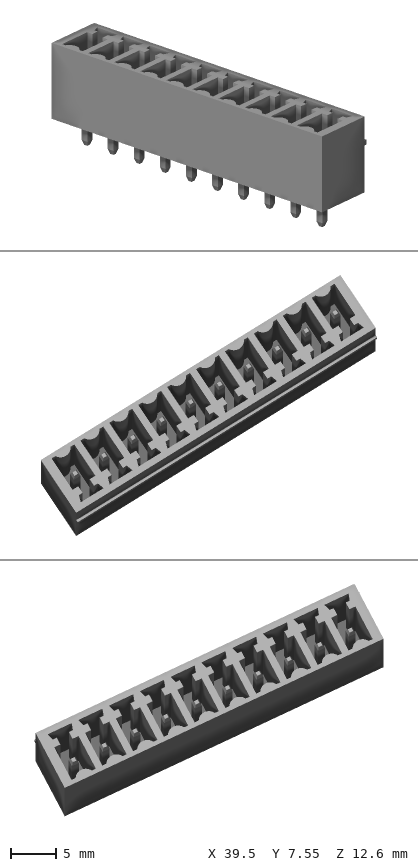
import cadquery as cq

contact_count = 10
pitch = 3.81
end_margin = 2.6
housing_depth = 7.25
housing_height = 9.2
housing_length = (contact_count - 1) * pitch + 2 * end_margin

rib_projection = 0.3
rib_height = 0.6
rib_bottom = 5.7

pocket_floor = 1.2
pocket_width = 3.0
pocket_front = 0.5
neck_front = 4.8
neck_back = 5.7
neck_width = 1.5
keyway_back = 6.5
keyway_front_width = 2.5
keyway_back_width = pocket_width

ridge_width = 2.0
ridge_projection = 0.6

pin_side = 0.85
pin_y = 3.0
pin_tail = 3.4
pin_top = 7.8
pin_taper_length = 0.6
pin_taper_inset = 0.2


def make_housing():
    block = cq.Workplane("XY").box(
        housing_length, housing_depth, housing_height, centered=(True, False, False)
    )
    rib = (
        cq.Workplane("XY", origin=(0, housing_depth, rib_bottom))
        .box(housing_length, rib_projection, rib_height, centered=(True, False, False))
    )
    return block.union(rib)


def make_pocket(x):
    """Keyed pocket volume centred on x, open at the top of the housing."""
    half_pocket = pocket_width / 2
    half_neck = neck_width / 2
    half_ridge = ridge_width / 2
    half_key_front = keyway_front_width / 2
    half_key_back = keyway_back_width / 2
    return (
        cq.Workplane("XY", origin=(x, 0, pocket_floor))
        .moveTo(-half_pocket, pocket_front)
        .lineTo(-half_ridge, pocket_front)
        .threePointArc((0, pocket_front + ridge_projection), (half_ridge, pocket_front))
        .lineTo(half_pocket, pocket_front)
        .lineTo(half_pocket, neck_front)
        .lineTo(half_neck, neck_front)
        .lineTo(half_neck, neck_back)
        .lineTo(half_key_front, neck_back)
        .lineTo(half_key_back, keyway_back)
        .lineTo(-half_key_back, keyway_back)
        .lineTo(-half_key_front, neck_back)
        .lineTo(-half_neck, neck_back)
        .lineTo(-half_neck, neck_front)
        .lineTo(-half_pocket, neck_front)
        .close()
        .extrude(housing_height - pocket_floor)
    )


def make_pin(x):
    """Square pin centred on x with a tapered tip at each end."""
    pin_length = pin_tail + pin_top
    return (
        cq.Workplane("XY", origin=(x, pin_y, -pin_tail))
        .box(pin_side, pin_side, pin_length, centered=(True, True, False))
        .faces("<Z or >Z")
        .chamfer(pin_taper_length, pin_taper_inset)
    )


first_contact_x = -(contact_count - 1) * pitch / 2
contact_positions = [first_contact_x + i * pitch for i in range(contact_count)]

result = make_housing()
for contact_x in contact_positions:
    result = result.cut(make_pocket(contact_x))
for contact_x in contact_positions:
    result = result.union(make_pin(contact_x))